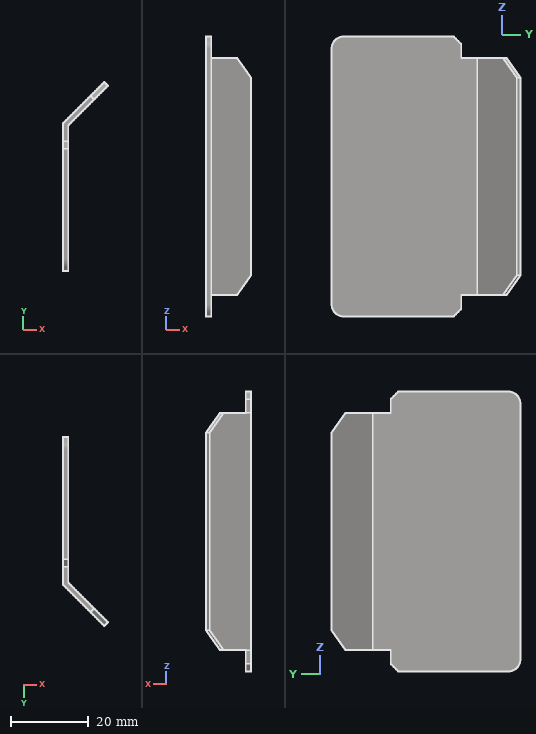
import cadquery as cq
import math

depth = 48.6
height = 72.0
width = 11.6

thickness = 1.4
bend_angle = math.radians(45)

plate_depth = 33.4
corner_radius = 3.2
plate_chamfer = 2.0

flange_height = 60.9
flange_chamfer = 5.05

flange_run = width - thickness * math.cos(bend_angle)
flange_length = flange_run / math.sin(bend_angle)
bend_y = depth - flange_length * math.cos(bend_angle)
inner_bend_y = bend_y - thickness * math.tan(bend_angle / 2)


def make_plate():
    """Flat plate with rounded front corners and chamfered rear corners."""
    half = height / 2
    blank = (
        cq.Workplane("YZ")
        .polyline([
            (0, -half),
            (plate_depth - plate_chamfer, -half),
            (plate_depth, -half + plate_chamfer),
            (plate_depth, half - plate_chamfer),
            (plate_depth - plate_chamfer, half),
            (0, half),
        ])
        .close()
        .extrude(thickness)
    )
    return blank.edges("|X and <Y").fillet(corner_radius)


def make_flange():
    """Strip continuing the plate, bent toward +X, with its tip corners cut."""
    strip = (
        cq.Workplane("XY")
        .polyline([
            (0, plate_depth),
            (0, bend_y),
            (flange_run, depth),
            (width, depth - thickness * math.sin(bend_angle)),
            (thickness, inner_bend_y),
            (thickness, plate_depth),
        ])
        .close()
        .extrude(flange_height / 2, both=True)
    )
    tip_direction = cq.Vector(math.sin(bend_angle), math.cos(bend_angle), 0)
    tip_face = strip.faces(cq.selectors.DirectionMinMaxSelector(tip_direction, True))
    return tip_face.edges("not |Z").chamfer(flange_chamfer)


result = make_plate().union(make_flange())